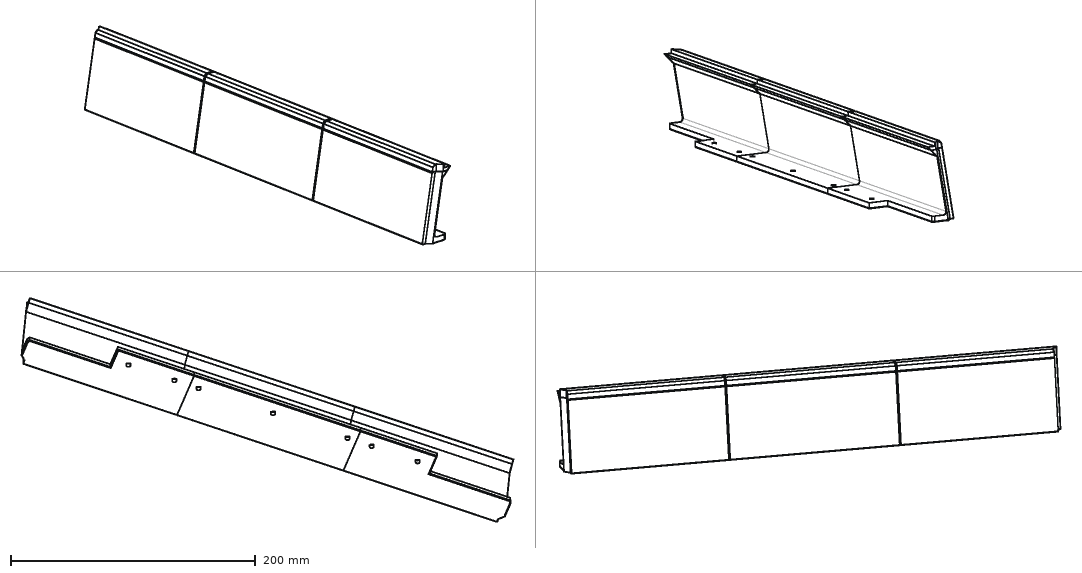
import cadquery as cq
import math

LENGTH = 423.0
DEPTH = 40.0
HEIGHT = 67.0
HALF_LENGTH = LENGTH / 2
JOINT_X = 73.0
SEAM_Z = 60.5
LEAN_ANGLE = math.radians(10.3)
LEAN = math.tan(LEAN_ANGLE)

LEG_THICKNESS = 8.5
FOOT_THICKNESS = 5.0
FOOT_FILLET = 2.5
LEDGE_TIP_Y = 27.0
LEDGE_Z = 63.5
CAP_BACK_Y = 20.7
CAP_CHAMFER_Y = 2.5
CAP_CHAMFER_Z = 2.0
EDGE_BEVEL = 0.65

FOOT_BACK_Y = DEPTH + EDGE_BEVEL * math.sin(LEAN_ANGLE)
FOOT_HALF_LENGTH = 139.5
NARROW_FOOT_Y = 23.0
CORNER_CUT_X = 1.3
CORNER_CUT_Y = 2.5
HOLE_DIAMETER = 3.6
HOLE_Y = 30.0
CENTER_HOLES_X = [-65.0, 0, 65.0]
SIDE_HOLES_X = [86.5, 126.5]

END_STEP = 4.2
FRONT_LAYER = 3.5
CAP_MITER_Y = 15.2


def front_y(z):
    """Y of the sloping front face at height z."""
    return LEAN * z


def underside_y(z):
    """Y of the 45 degree underside that runs down from the ledge tip."""
    return LEDGE_TIP_Y - (LEDGE_Z - z)


def extrude_along_x(points, x_start, x_end):
    return cq.Workplane("YZ", origin=(x_start, 0, 0)).polyline(points).close().extrude(x_end - x_start)


def miter_cutter(front_edge_y, base_z, height, lean):
    """Prism that trims the +X end: a straight setback in front, then a 45 degree miter."""
    inner_x = HALF_LENGTH - END_STEP
    outer_x = HALF_LENGTH + END_STEP
    corners = [
        (inner_x, front_edge_y - DEPTH),
        (inner_x, front_edge_y),
        (outer_x, front_edge_y + outer_x - inner_x),
        (outer_x, front_edge_y - DEPTH),
    ]
    wire = cq.Wire.makePolygon([cq.Vector(x, y, base_z) for x, y in corners], close=True)
    return cq.Workplane(cq.Solid.extrudeLinear(wire, [], cq.Vector(0, lean * height, height)))


def leg_blank(x_start, x_end):
    """Sloping wall that widens at the top to carry the cap's ledge."""
    gusset_z = (LEG_THICKNESS - LEDGE_TIP_Y + LEDGE_Z) / (1 - LEAN)
    return extrude_along_x(
        [
            (0, 0),
            (LEG_THICKNESS, 0),
            (front_y(gusset_z) + LEG_THICKNESS, gusset_z),
            (underside_y(SEAM_Z), SEAM_Z),
            (front_y(SEAM_Z), SEAM_Z),
        ],
        x_start,
        x_end,
    )


def foot_plate(x_start, x_end, back_y):
    return cq.Workplane("XY").box(
        x_end - x_start, back_y - LEG_THICKNESS / 2, FOOT_THICKNESS, centered=False
    ).translate((x_start, LEG_THICKNESS / 2, 0))


def cut_foot_corner(foot):
    """Trim the back outer corner of the narrow foot."""
    corner = [
        (HALF_LENGTH - CORNER_CUT_X, NARROW_FOOT_Y),
        (HALF_LENGTH, NARROW_FOOT_Y - CORNER_CUT_Y),
        (HALF_LENGTH, NARROW_FOOT_Y),
    ]
    return foot.cut(cq.Workplane("XY").polyline(corner).close().extrude(FOOT_THICKNESS))


def fillet_inner_corner(leg):
    """Round the corner between the foot's top and the back of the wall."""
    corner_y = front_y(FOOT_THICKNESS) + LEG_THICKNESS
    reach = 0.5
    box = cq.selectors.BoxSelector(
        (-LENGTH, corner_y - reach, FOOT_THICKNESS - reach),
        (LENGTH, corner_y + reach, FOOT_THICKNESS + reach),
        boundingbox=False,
    )
    return leg.edges("|X").edges(box).fillet(FOOT_FILLET)


def drill_holes(leg, positions_x):
    drills = (
        cq.Workplane("XY")
        .pushPoints([(x, HOLE_Y) for x in positions_x])
        .circle(HOLE_DIAMETER / 2)
        .extrude(FOOT_THICKNESS)
    )
    return leg.cut(drills)


def center_leg():
    foot = foot_plate(-JOINT_X, JOINT_X, FOOT_BACK_Y)
    foot = foot.edges("<Z and >Y").chamfer(EDGE_BEVEL)
    leg = leg_blank(-JOINT_X, JOINT_X).union(foot)
    leg = fillet_inner_corner(leg)
    leg = leg.faces("<Y").edges().chamfer(EDGE_BEVEL)
    return drill_holes(leg, CENTER_HOLES_X)


def side_leg():
    """Leg of the +X section, with a narrow foot that reaches on to the mitred end."""
    wide_foot = foot_plate(JOINT_X, FOOT_HALF_LENGTH, FOOT_BACK_Y)
    wide_foot = wide_foot.edges("<Z and (>Y or >X)").chamfer(EDGE_BEVEL)
    narrow_foot = foot_plate(JOINT_X, HALF_LENGTH, NARROW_FOOT_Y)
    narrow_foot = cut_foot_corner(narrow_foot)
    narrow_foot = narrow_foot.faces("<Z").edges("not(<X or <Y)").chamfer(EDGE_BEVEL)
    leg = leg_blank(JOINT_X, HALF_LENGTH).union(narrow_foot).union(wide_foot)
    leg = fillet_inner_corner(leg)
    leg = leg.cut(miter_cutter(FRONT_LAYER, 0, SEAM_Z, LEAN))
    leg = leg.faces("<Y").edges("not(>X)").chamfer(EDGE_BEVEL)
    return drill_holes(leg, SIDE_HOLES_X)


def cap_blank(x_start, x_end):
    """Top rail with a sharp ledge along its back and a chamfer along its front."""
    shoulder_z = HEIGHT - CAP_CHAMFER_Z
    return extrude_along_x(
        [
            (front_y(SEAM_Z), SEAM_Z),
            (underside_y(SEAM_Z), SEAM_Z),
            (LEDGE_TIP_Y, LEDGE_Z),
            (CAP_BACK_Y, LEDGE_Z),
            (CAP_BACK_Y, HEIGHT),
            (front_y(shoulder_z) + CAP_CHAMFER_Y, HEIGHT),
            (front_y(shoulder_z), shoulder_z),
        ],
        x_start,
        x_end,
    )


def bevel_cap_end(cap, end_face):
    """Bevel the top, chamfer and front edges around one jointed end of a cap."""
    end = cap.faces(end_face)
    front_edges = cq.selectors.BoxSelector(
        (-LENGTH, 0, SEAM_Z + EDGE_BEVEL),
        (LENGTH, CAP_BACK_Y - EDGE_BEVEL, HEIGHT + EDGE_BEVEL),
    )
    return end.edges(front_edges).chamfer(EDGE_BEVEL)


def center_cap():
    cap = cap_blank(-JOINT_X, JOINT_X)
    return bevel_cap_end(bevel_cap_end(cap, "<X"), ">X")


def side_cap():
    """Cap of the +X section."""
    cap = cap_blank(JOINT_X, HALF_LENGTH)
    cap = cap.cut(miter_cutter(CAP_MITER_Y, SEAM_Z, HEIGHT - SEAM_Z, 0))
    return bevel_cap_end(cap, "<X")


def both_sides(body):
    """The +X body and its mirror image on the -X side."""
    return [body.val(), body.mirror("YZ").val()]


result = cq.Compound.makeCompound(
    [center_leg().val(), *both_sides(side_leg()), center_cap().val(), *both_sides(side_cap())]
)